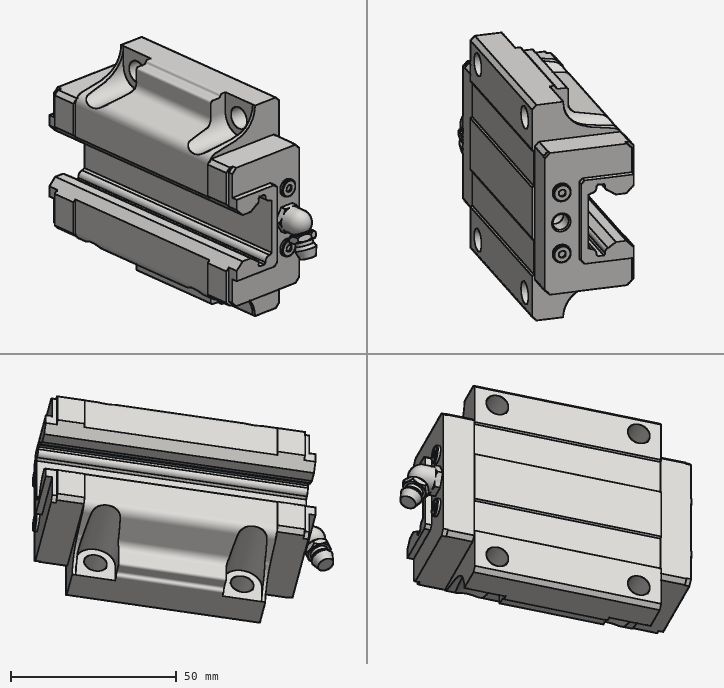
import cadquery as cq
import math


overall_length = 92.7

block_length = 59.3
block_width = 70.0
half_length = block_length / 2
half_width = block_width / 2
flange_chamfer = 1.4
block_depth = 28.7
recess_depth = 0.6
recess_inner_z = 8.8
recess_outer_z = 19.9
recess_slope = 0.5

step_start_depth = 11.1
step_middle_depth = 12.0
step_middle_z = 34.4
land_side_z = 33.8
step_slope = (half_width - step_middle_z) / (step_middle_depth - step_start_depth)
step_end_depth = step_middle_depth + (step_middle_z - land_side_z) / step_slope
land_depth = 15.85
land_fillet = 0.8
land_inner_z = 28.55

flank_start = (18.2, 25.8)
flank_end = (26.0, 24.4)
front_face_z = 21.3

bolt_x = 22.5
bolt_z = 28.5
bolt_hole_radius = 3.5
bolt_pocket_radius = 6.0
bolt_pocket_depth = 9.9
relief_radius = 9.0

channel_depth = 14.0
channel_half_width = 8.6
track_depth = 18.0
track_bottom_half = 0.9
track_wall_half = 1.4
track_nose_radius = 1.7
track_mouth_half = 2.2
track_mouth_bulge = 0.2
track_bottom_z = 11.6
track_shoulder_z = 11.0
track_nose_z = 10.75
track_wall_z = 10.5
track_mouth_z = 9.4
lip_z = 7.7
lip_start_depth = 22.7
lip_end_depth = 26.05
channel_overrun = 0.9

cap_half_width = 23.0
cap_back = 0.8
cap_front = 29.5
cap_chamfer = 1.4
cap_end_x = 38.0
plate_front = 28.5
plate_chamfer = 1.6
plate_end_x = 39.5
seal_back = 11.7
seal_half_width = 13.5
seal_chamfer = 1.1
seal_end_x = 41.4

port_depth = 6.0
screw_z = 9.9
screw_radius = 2.8
screw_height = 1.1
screw_chamfer = 0.3
socket_radius = 1.1
socket_depth = 0.6
port_radius = 2.5
port_mouth_radius = 3.0
port_bore_length = 5.6
port_tip_length = 1.4

base_hex_radius = 4.6
base_hex_length = seal_end_x - plate_end_x
base_hex_chamfer = 0.4
elbow_radius = 4.1
spout_angle = 22.5
spout_hex_start = 3.4
spout_hex_end = 5.7
spout_hex_radius = 4.3
spout_hex_chamfer = 0.65
neck_radius = 2.8
neck_end = 6.95
collar_radius = 3.4
collar_at = 8.2
tip_radius = 2.5
tip_end = 11.0
tilt = math.radians(spout_angle)
tip_reach = tip_end * math.sin(tilt) + tip_radius * math.cos(tilt)
elbow_x = overall_length - seal_end_x - tip_reach


def along_rail(start_x):
    """Sketch plane across the rail at start_x, extruding toward +X."""
    return cq.Workplane("YZ", origin=(start_x, 0, 0))


def cross_points(points):
    """Turn (depth, z) points into sketch points."""
    return [(-depth, z) for depth, z in points]


def chamfered_profile(start_x, back, front, half_size, back_chamfer, front_chamfer):
    """Closed rectangle from depth back to front, corners cut where a chamfer is given."""
    half = [(back, half_size - back_chamfer), (back + back_chamfer, half_size)]
    half.append((front - front_chamfer, half_size))
    if front_chamfer:
        half.append((front, half_size - front_chamfer))
    mirrored = [(depth, -z) for depth, z in reversed(half)]
    return along_rail(start_x).polyline(cross_points(half + mirrored)).close()


def make_half_block():
    """The half of the flanged block on the +Z side, without channel and pockets."""
    land_edge_z = land_side_z - land_fillet
    fillet_middle = land_fillet * math.sqrt(0.5)
    return (
        along_rail(-half_length)
        .polyline(cross_points([
            (0, 0),
            (0, recess_inner_z - recess_slope),
            (recess_depth, recess_inner_z),
            (recess_depth, recess_outer_z),
            (0, recess_outer_z + recess_slope),
            (0, half_width - flange_chamfer),
            (flange_chamfer, half_width),
        ]))
        .lineTo(-step_start_depth, half_width)
        .tangentArcPoint((-step_middle_depth, step_middle_z), relative=False)
        .tangentArcPoint((-step_end_depth, land_side_z), relative=False)
        .lineTo(-(land_depth - land_fillet), land_side_z)
        .threePointArc(
            (-(land_depth - land_fillet + fillet_middle), land_edge_z + fillet_middle),
            (-land_depth, land_edge_z),
        )
        .lineTo(-land_depth, land_inner_z)
        .tangentArcPoint((-flank_start[0], flank_start[1]), relative=False)
        .lineTo(-flank_end[0], flank_end[1])
        .tangentArcPoint((-block_depth, front_face_z), relative=False)
        .lineTo(-block_depth, 0)
        .close()
        .extrude(block_length)
    )


def make_bolt_cutter(x, z):
    """Through hole, bolt-head pocket and end relief of one mounting bolt."""
    hole = cq.Workplane("XZ").center(x, z).circle(bolt_hole_radius).extrude(cap_front)
    pocket_length = cap_front - bolt_pocket_depth
    seat = cq.Workplane("XZ", origin=(0, -bolt_pocket_depth, 0)).center(x, z)
    pocket = seat.circle(bolt_pocket_radius).extrude(pocket_length)
    side = math.copysign(half_width, z)
    slot = (
        seat.center(0, (side - z) / 2)
        .rect(2 * bolt_pocket_radius, abs(side - z))
        .extrude(pocket_length)
    )
    relief = (
        along_rail(min(x, math.copysign(half_length, x)))
        .center(-(bolt_pocket_depth + relief_radius), side)
        .circle(relief_radius)
        .extrude(half_length - abs(x))
    )
    return hole.union(pocket).union(slot).union(relief)


def make_channel():
    """Cutter for the rail channel with a ball track in each side."""
    front = cap_front + channel_overrun
    track_near_wall = track_depth - track_wall_half
    track_far_wall = track_depth + track_wall_half
    nose_depth = track_near_wall - track_nose_radius
    nose_middle = track_nose_radius * math.sqrt(0.5)
    mouth_middle = (track_wall_half + track_mouth_half) / 2 - track_mouth_bulge
    mouth_middle_z = (track_wall_z + track_mouth_z) / 2 - track_mouth_bulge
    half = (
        along_rail(-seal_end_x)
        .moveTo(-channel_depth, 0)
        .lineTo(-channel_depth, channel_half_width)
        .lineTo(-nose_depth, track_nose_z - track_nose_radius)
        .threePointArc(
            (-(nose_depth + nose_middle), track_nose_z - nose_middle),
            (-track_near_wall, track_nose_z),
        )
        .lineTo(-track_near_wall, track_shoulder_z)
        .lineTo(-(track_depth - track_bottom_half), track_bottom_z)
        .lineTo(-(track_depth + track_bottom_half), track_bottom_z)
        .lineTo(-track_far_wall, track_shoulder_z)
        .lineTo(-track_far_wall, track_wall_z)
        .threePointArc(
            (-(track_depth + mouth_middle), mouth_middle_z),
            (-(track_depth + track_mouth_half), track_mouth_z),
        )
        .lineTo(-lip_start_depth, lip_z)
        .lineTo(-lip_end_depth, lip_z)
        .lineTo(-front, lip_z + front - lip_end_depth)
        .lineTo(-front, 0)
        .close()
        .extrude(2 * seal_end_x)
    )
    return half.union(half.mirror("XY"))


def make_screw_head(z):
    """Round screw head with a socket, standing on the +X cover plate."""
    return (
        along_rail(plate_end_x)
        .center(-port_depth, z)
        .circle(screw_radius)
        .extrude(screw_height)
        .faces(">X").chamfer(screw_chamfer)
        .faces(">X").workplane()
        .hole(2 * socket_radius, socket_depth)
    )


def make_end():
    """Cap, cover plate, seal and screw heads at the +X end."""
    cap = chamfered_profile(
        half_length, cap_back, cap_front, cap_half_width, cap_chamfer, cap_chamfer
    ).extrude(cap_end_x - half_length)
    plate = chamfered_profile(
        cap_end_x, cap_back, plate_front, cap_half_width, plate_chamfer, plate_chamfer
    ).extrude(plate_end_x - cap_end_x)
    seal = chamfered_profile(
        plate_end_x, seal_back, plate_front, seal_half_width, seal_chamfer, 0
    ).extrude(seal_end_x - plate_end_x)
    end = cap.union(plate).union(seal)
    for z in (-screw_z, screw_z):
        end = end.union(make_screw_head(z))
    return end


def make_port():
    """Cutter for the lubrication port in the -X cover plate."""
    mouth_chamfer = port_mouth_radius - port_radius
    return (
        cq.Workplane("XY", origin=(-plate_end_x, -port_depth, 0))
        .polyline([
            (0, 0),
            (0, port_mouth_radius),
            (mouth_chamfer, port_radius),
            (port_bore_length, port_radius),
            (port_bore_length + port_tip_length, 0),
        ])
        .close()
        .revolve(360, (0, 0, 0), (1, 0, 0))
    )


def make_carriage():
    half_block = make_half_block()
    carriage = half_block.union(half_block.mirror("XY"))
    for x in (-bolt_x, bolt_x):
        for z in (-bolt_z, bolt_z):
            carriage = carriage.cut(make_bolt_cutter(x, z))
    end = make_end()
    carriage = carriage.union(end).union(end.mirror("YZ"))
    return carriage.cut(make_channel()).cut(make_port())


def make_hex(plane, corner_radius, length, turned_cone, both_ends):
    """Hexagonal prism with its corners turned off conically at the far end, or at both ends."""
    far_end = cq.selectors.DirectionMinMaxSelector(plane.plane.zDir, True)
    near_end = cq.selectors.DirectionMinMaxSelector(plane.plane.zDir, False)
    turned = plane.circle(corner_radius).extrude(length).faces(far_end).chamfer(turned_cone)
    if both_ends:
        turned = turned.faces(near_end).chamfer(turned_cone)
    return plane.polygon(6, 2 * corner_radius).extrude(length).intersect(turned)


def make_nipple():
    """Elbow grease nipple seated on the +X cover plate, with a tilted spout."""
    seat = along_rail(plate_end_x).center(-port_depth, 0)
    base = make_hex(seat, base_hex_radius, base_hex_length, base_hex_chamfer, False)
    arm = seat.circle(elbow_radius).extrude(elbow_x - plate_end_x)
    elbow_centre = (elbow_x, -port_depth, 0)
    elbow = cq.Workplane("XY").sphere(elbow_radius).translate(elbow_centre)

    spout_plane = cq.Plane(
        origin=elbow_centre,
        xDir=(math.cos(tilt), 0, math.sin(tilt)),
        normal=(math.sin(tilt), 0, -math.cos(tilt)),
    )
    spout_hex = make_hex(
        cq.Workplane(spout_plane).workplane(offset=spout_hex_start),
        spout_hex_radius,
        spout_hex_end - spout_hex_start,
        spout_hex_chamfer,
        True,
    )
    section_plane = cq.Plane(origin=elbow_centre, xDir=spout_plane.xDir, normal=(0, 1, 0))
    spout = (
        cq.Workplane(section_plane)
        .polyline([
            (0, 0),
            (neck_radius, 0),
            (neck_radius, neck_end),
            (collar_radius, collar_at),
            (tip_radius, tip_end),
            (0, tip_end),
        ])
        .close()
        .revolve(360, (0, 0, 0), (0, 1, 0))
    )
    return base.union(arm).union(elbow).union(spout_hex).union(spout)


carriage = make_carriage()
nipple = make_nipple()
result = cq.Compound.makeCompound([carriage.val(), nipple.val()])